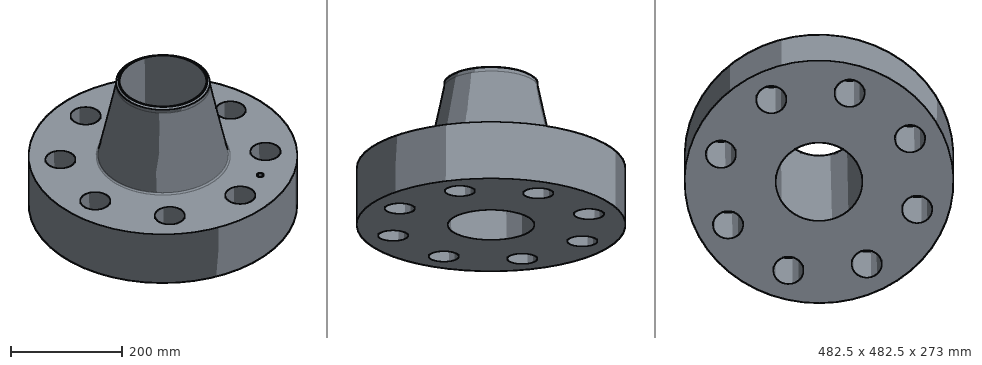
import cadquery as cq
import math

flange_diameter = 482.5
flange_thickness = 108.0
overall_height = 273.0

neck_base_diameter = 235.0
neck_top_diameter = 168.5
weld_band_height = 6.8
weld_bevel_height = 3.0
weld_bevel_width = 4.5
bore_diameter = 155.5
root_fillet_radius = 3.5

bolt_count = 8
bolt_circle_radius = 184.5
bolt_hole_diameter = 54.0

groove_outer_diameter = 12.5
groove_inner_diameter = 10.0
groove_depth = 1.0


def make_body():
    """Flange disc and tapered neck turned about Z."""
    bevel_start = overall_height - weld_bevel_height
    taper_end = bevel_start - weld_band_height
    profile = (
        cq.Workplane("XZ")
        .lineTo(flange_diameter / 2, 0)
        .lineTo(flange_diameter / 2, flange_thickness)
        .lineTo(neck_base_diameter / 2, flange_thickness)
        .lineTo(neck_top_diameter / 2, taper_end)
        .lineTo(neck_top_diameter / 2, bevel_start)
        .lineTo(neck_top_diameter / 2 - weld_bevel_width, overall_height)
        .lineTo(0, overall_height)
        .close()
    )
    return profile.revolve(360, (0, 0, 0), (0, 1, 0))


def fillet_neck_root(body):
    """Round the corner where the neck meets the flange face."""
    reach = neck_base_diameter / 2 + root_fillet_radius
    root_zone = cq.selectors.BoxSelector(
        (-reach, -reach, flange_thickness - root_fillet_radius),
        (reach, reach, flange_thickness + root_fillet_radius),
        boundingbox=True,
    )
    return body.edges(root_zone).fillet(root_fillet_radius)


def make_bolt_holes():
    """Through holes spaced evenly around the bolt circle."""
    return (
        cq.Workplane("XY")
        .polarArray(bolt_circle_radius, 0, 360, bolt_count)
        .circle(bolt_hole_diameter / 2)
        .extrude(flange_thickness)
    )


def make_ring_groove():
    """Ring sunk into the flange face on the bolt circle, half a bolt pitch from the X axis."""
    angle = math.radians(360 / bolt_count / 2)
    return (
        cq.Workplane("XY", origin=(0, 0, flange_thickness - groove_depth))
        .center(bolt_circle_radius * math.cos(angle), bolt_circle_radius * math.sin(angle))
        .circle(groove_outer_diameter / 2)
        .circle(groove_inner_diameter / 2)
        .extrude(groove_depth)
    )


bore = cq.Workplane("XY").circle(bore_diameter / 2).extrude(overall_height)

result = fillet_neck_root(make_body()).cut(bore).cut(make_bolt_holes()).cut(make_ring_groove())